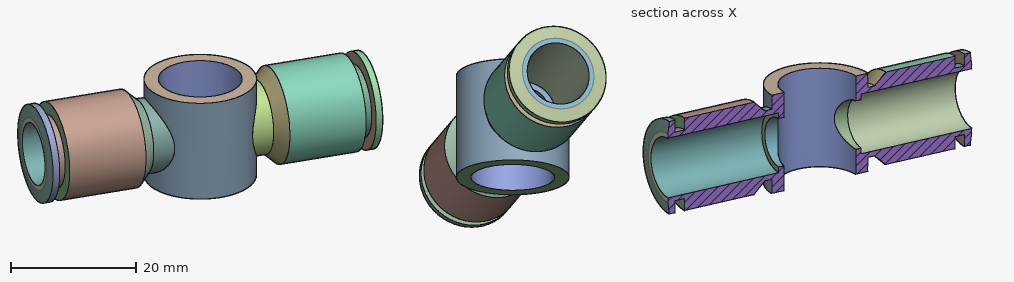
import cadquery as cq

ring_diameter = 18.0
ring_bore_diameter = 13.35
ring_height = 17.0

overall_length = 56.8
sleeve_radius = 8.0
neck_radius = 6.1
collar_groove_radius = 5.95
collar_face_radius = 5.9
tube_socket_radius = 5.1
passage_radius = 4.15

collar_bevel = 0.3
collar_rim = 1.15
groove_width = 1.7
sleeve_length = 13.0
shoulder_length = 2.05
tube_socket_depth = 20.7

port_end = overall_length / 2
rim_front = port_end - collar_bevel
rim_back = rim_front - collar_rim
sleeve_front = rim_back - groove_width
sleeve_back = sleeve_front - sleeve_length
shoulder_back = sleeve_back - shoulder_length
socket_floor = port_end - tube_socket_depth


def port_body():
    """Solid port on +Y: neck, tapered shoulder, sleeve, groove and bevelled collar."""
    return (
        cq.Workplane("XY")
        .moveTo(0, 0)
        .lineTo(neck_radius, 0)
        .lineTo(neck_radius, shoulder_back)
        .lineTo(sleeve_radius, sleeve_back)
        .lineTo(sleeve_radius, sleeve_front)
        .lineTo(collar_groove_radius, sleeve_front)
        .lineTo(collar_groove_radius, rim_back)
        .lineTo(sleeve_radius, rim_back)
        .lineTo(sleeve_radius, rim_front)
        .lineTo(collar_face_radius, port_end)
        .lineTo(0, port_end)
        .close()
        .revolve(360, (0, 0), (0, 1))
    )


def port_bore():
    """Stepped bore on +Y: narrow passage from the ring, then the wider tube socket."""
    return (
        cq.Workplane("XY")
        .moveTo(0, 0)
        .lineTo(passage_radius, 0)
        .lineTo(passage_radius, socket_floor)
        .lineTo(tube_socket_radius, socket_floor)
        .lineTo(tube_socket_radius, port_end)
        .lineTo(0, port_end)
        .close()
        .revolve(360, (0, 0), (0, 1))
    )


def upright_cylinder(diameter):
    """Cylinder along Z, centred on the origin, as tall as the ring."""
    return cq.Workplane("XY").circle(diameter / 2).extrude(ring_height / 2, both=True)


result = upright_cylinder(ring_diameter)
for angle in (0, 180):
    result = result.union(port_body().rotate((0, 0, 0), (0, 0, 1), angle))

result = result.cut(upright_cylinder(ring_bore_diameter))
for angle in (0, 180):
    result = result.cut(port_bore().rotate((0, 0, 0), (0, 0, 1), angle))